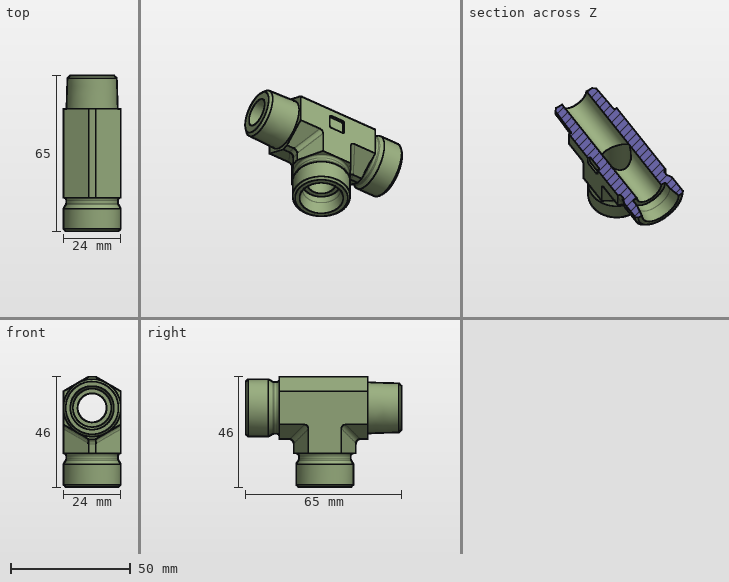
import cadquery as cq
import math

across_flats = 24.0
corner_cut_height = 26.0

run_front = -19.0
run_back = 18.0
branch_bottom = -19.0
junction_fillet_radius = 2.0

thread_diameter = 24.0
thread_end_length = 14.0
thread_chamfer = 1.0
undercut_diameter = 21.7
undercut_radius = 1.0
undercut_length = 4.5
undercut_angle = math.radians(30)

taper_thread_length = 14.0
taper_root_diameter = 21.5
taper_ratio = 1 / 16
taper_chamfer = 1.2

bore_diameter = 12.0
socket_diameter = 16.0
socket_depth = 8.5
cone_mouth_diameter = 18.2
cone_half_angle = math.radians(12)

recess_size = 7.0
recess_corner_radius = 0.8
recess_depth = 1.0

front_end = run_front - thread_end_length
back_end = run_back + taper_thread_length
branch_end = branch_bottom - thread_end_length


def hex_bar(length):
    """Bar along +Z from the origin: hexagon with flats on X and corners cut flat on Y."""
    corner_diameter = across_flats / math.cos(math.pi / 6)
    hexagon = cq.Workplane("XY").polygon(6, corner_diameter).extrude(length)
    hexagon = hexagon.rotate((0, 0, 0), (0, 0, 1), 30)
    corner_trim = cq.Workplane("XY").rect(across_flats, corner_cut_height).extrude(length)
    return hexagon.intersect(corner_trim)


def revolve_profile(profile):
    """Close a (radius, height) profile and turn it about the Z axis."""
    return profile.close().revolve(360, (0, 0, 0), (0, 1, 0))


def threaded_end():
    """Straight threaded end: root at the origin, running along +Z."""
    thread_radius = thread_diameter / 2
    root_radius = undercut_diameter / 2
    run_out_rise = undercut_radius * (1 - math.cos(undercut_angle))
    run_out_run = undercut_radius * math.sin(undercut_angle)
    cone_run = (thread_radius - root_radius - run_out_rise) / math.tan(undercut_angle)
    cone_start = undercut_length - cone_run
    groove_end = cone_start - run_out_run
    half_angle = undercut_angle / 2
    quarter_middle = math.pi / 4
    inner_arc_mid = (
        root_radius + undercut_radius * (1 - math.cos(quarter_middle)),
        undercut_radius * (1 - math.sin(quarter_middle)),
    )
    outer_arc_mid = (
        root_radius + undercut_radius * (1 - math.cos(half_angle)),
        groove_end + undercut_radius * math.sin(half_angle),
    )
    profile = (
        cq.Workplane("XZ")
        .moveTo(0, 0)
        .lineTo(root_radius + undercut_radius, 0)
        .threePointArc(inner_arc_mid, (root_radius, undercut_radius))
        .lineTo(root_radius, groove_end)
        .threePointArc(outer_arc_mid, (root_radius + run_out_rise, cone_start))
        .lineTo(thread_radius, undercut_length)
        .lineTo(thread_radius, thread_end_length - thread_chamfer)
        .lineTo(thread_radius - thread_chamfer, thread_end_length)
        .lineTo(0, thread_end_length)
    )
    return revolve_profile(profile)


def tapered_end():
    """Tapered thread end: root at the origin, running along +Z."""
    root_radius = taper_root_diameter / 2
    chamfer_start = taper_thread_length - taper_chamfer
    chamfer_radius = root_radius - chamfer_start * taper_ratio / 2
    profile = (
        cq.Workplane("XZ")
        .moveTo(0, 0)
        .lineTo(root_radius, 0)
        .lineTo(chamfer_radius, chamfer_start)
        .lineTo(chamfer_radius - taper_chamfer, taper_thread_length)
        .lineTo(0, taper_thread_length)
    )
    return revolve_profile(profile)


def tube_socket(bore_length):
    """Cutter for a coned tube socket and its bore: mouth at the origin, running along +Z."""
    mouth_radius = cone_mouth_diameter / 2
    socket_radius = socket_diameter / 2
    cone_depth = (mouth_radius - socket_radius) / math.tan(cone_half_angle)
    profile = (
        cq.Workplane("XZ")
        .moveTo(0, 0)
        .lineTo(mouth_radius, 0)
        .lineTo(socket_radius, cone_depth)
        .lineTo(socket_radius, socket_depth)
        .lineTo(bore_diameter / 2, socket_depth)
        .lineTo(bore_diameter / 2, bore_length)
        .lineTo(0, bore_length)
    )
    return revolve_profile(profile)


def point_back(shape, y):
    """Turn a shape built along +Z to run along +Y, starting at the given Y."""
    return shape.rotate((0, 0, 0), (1, 0, 0), -90).translate((0, y, 0))


def point_front(shape, y):
    """Turn a shape built along +Z to run along -Y, starting at the given Y."""
    return shape.rotate((0, 0, 0), (1, 0, 0), 90).translate((0, y, 0))


def point_up(shape, z):
    """Move a shape built along +Z to start at the given Z."""
    return shape.translate((0, 0, z))


def point_down(shape, z):
    """Turn a shape built along +Z to run along -Z, starting at the given Z."""
    return shape.rotate((0, 0, 0), (1, 0, 0), 180).translate((0, 0, z))


def tee_body():
    """Run and branch bars joined, with the inside corners between them rounded."""
    run = point_back(hex_bar(run_back - run_front), run_front)
    branch = point_down(hex_bar(-branch_bottom), 0)
    margin = 0.5
    corner_half_width = across_flats / 2 + margin
    corner_reach = corner_cut_height / 2 + margin
    junction_zone = cq.selectors.BoxSelector(
        (-corner_half_width, -corner_reach, -corner_reach),
        (corner_half_width, corner_reach, -margin),
        boundingbox=True,
    )
    return run.union(branch).edges(junction_zone).fillet(junction_fillet_radius)


def flat_recess():
    """Cutter for the rounded square recess in the -X flat."""
    block = cq.Workplane("XY").box(2 * recess_depth, recess_size, recess_size)
    return block.edges("|X").fillet(recess_corner_radius).translate((-across_flats / 2, 0, 0))


fitting = tee_body()
fitting = fitting.union(point_front(threaded_end(), run_front))
fitting = fitting.union(point_down(threaded_end(), branch_bottom))
fitting = fitting.union(point_back(tapered_end(), run_back))
fitting = fitting.cut(point_back(tube_socket(back_end - front_end), front_end))
fitting = fitting.cut(point_up(tube_socket(-branch_end), branch_end))
fitting = fitting.cut(flat_recess())

result = cq.Workplane(fitting.solids().val())